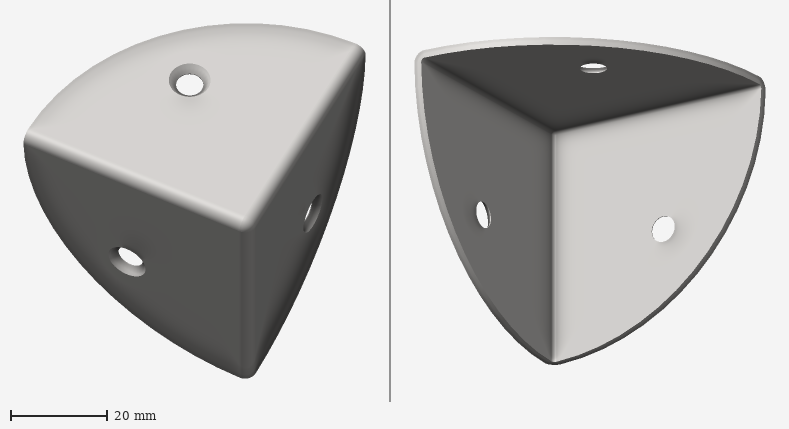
import cadquery as cq
import math

size = 53.0
thickness = 1.7
bend_radius = 2.5
inner_bend_radius = bend_radius - thickness
plate_radius = size - thickness
hole_offset = 28.8
hole_diameter = 5.65
countersink_diameter = 8.7
countersink_depth = (countersink_diameter - hole_diameter) / 2

top_face = cq.Plane(origin=(0, 0, 0), xDir=(0, 1, 0), normal=(0, 0, 1))
side_face = cq.Plane(origin=(0, 0, 0), xDir=(0, 0, -1), normal=(1, 0, 0))
front_face = cq.Plane(origin=(0, 0, 0), xDir=(-1, 0, 0), normal=(0, -1, 0))
outer_faces = (front_face, top_face, side_face)


def corner_block(inset, radius):
    """Block filling the corner from the given inset, with rounded edges at the corner."""
    length = size - inset
    return (
        cq.Workplane("XY")
        .box(length, length, length, centered=False)
        .translate((-size, inset, -size))
        .edges("(>X and >Z) or (>X and <Y) or (<Y and >Z)")
        .fillet(radius)
    )


def outline_prism(face):
    """Prism of one plate's outline, running through the whole bracket."""
    middle = thickness + plate_radius * math.sqrt(0.5)
    return (
        cq.Workplane(face)
        .lineTo(size, 0)
        .lineTo(size, thickness)
        .threePointArc((middle, middle), (thickness, size))
        .lineTo(0, size)
        .close()
        .extrude(-size)
    )


def screw_hole(face):
    """Cutter for one screw hole, countersunk from the outer face."""
    hole_radius = hole_diameter / 2
    drill = (
        cq.Workplane(face)
        .center(hole_offset, hole_offset)
        .circle(hole_radius)
        .extrude(-thickness)
    )
    cone = (
        cq.Workplane(face)
        .center(hole_offset, hole_offset)
        .circle(countersink_diameter / 2)
        .workplane(offset=-countersink_depth)
        .circle(hole_radius)
        .loft(ruled=True)
    )
    return drill.union(cone)


result = corner_block(0, bend_radius).cut(corner_block(thickness, inner_bend_radius))

for outer_face in outer_faces:
    result = result.intersect(outline_prism(outer_face))

for outer_face in outer_faces:
    result = result.cut(screw_hole(outer_face))